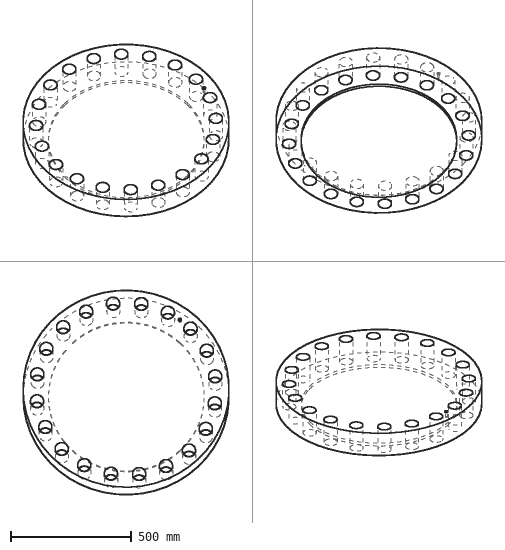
import cadquery as cq
import math

flange_diameter = 857.0
total_thickness = 121.0
raised_face_diameter = 648.0
raised_face_height = 13.0
flange_thickness = total_thickness - raised_face_height

bolt_count = 20
bolt_hole_diameter = 55.0
bolt_circle_diameter = 749.0
bolt_circle_radius = bolt_circle_diameter / 2
bolt_pitch_angle = 360 / bolt_count

small_hole_angle = 90 + bolt_pitch_angle / 2
small_hole_diameter = 7.0
small_hole_depth = 26.0
counterbore_diameter = 13.0
counterbore_depth = 2.0
drill_point_angle = 118


def make_body():
    """Flange disc standing on Z = 0, with the raised face hanging below it."""
    disc = cq.Workplane("XY").circle(flange_diameter / 2).extrude(flange_thickness)
    raised_face = cq.Workplane("XY").circle(raised_face_diameter / 2).extrude(-raised_face_height)
    return disc.union(raised_face)


def drill_bolt_holes(body):
    """Drill the ring of through holes."""
    return (
        body.faces(">Z")
        .workplane()
        .polarArray(bolt_circle_radius, 0, 360, bolt_count)
        .hole(bolt_hole_diameter)
    )


def make_small_hole_cutter():
    """Revolve the stepped, pointed hole about Z, with its mouth at Z = 0."""
    hole_radius = small_hole_diameter / 2
    counterbore_radius = counterbore_diameter / 2
    point_length = hole_radius / math.tan(math.radians(drill_point_angle / 2))
    return (
        cq.Workplane("XZ")
        .lineTo(counterbore_radius, 0)
        .lineTo(counterbore_radius, -counterbore_depth)
        .lineTo(hole_radius, -counterbore_depth)
        .lineTo(hole_radius, -small_hole_depth)
        .lineTo(0, -small_hole_depth - point_length)
        .close()
        .revolve(360, (0, 0), (0, 1))
    )


def drill_small_hole(body):
    """Cut the small stepped hole into the top face."""
    angle = math.radians(small_hole_angle)
    mouth = (
        bolt_circle_radius * math.cos(angle),
        bolt_circle_radius * math.sin(angle),
        flange_thickness,
    )
    return body.cut(make_small_hole_cutter().translate(mouth))


flange = make_body()
flange = drill_bolt_holes(flange)
result = drill_small_hole(flange)